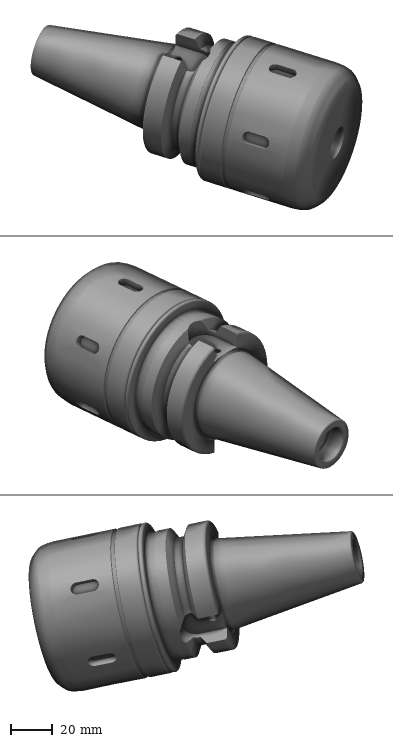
import cadquery as cq
import math

LENGTH = 155.4

DIAMETER_TAPER = 7 / 24
SHANK_END_RADIUS = 12.7
SHANK_EDGE_FILLET = 0.8
TAPER_END_X = 65.5
TAPER_END_RADIUS = SHANK_END_RADIUS + TAPER_END_X * DIAMETER_TAPER / 2

NECK_RADIUS = 21.8
UNDERCUT_START_X = 66.2
UNDERCUT_BOTTOM = (67.6, 22.7)
UNDERCUT_RADIUS = 23.8

FLANGE_X = 67.0
FLANGE_RADIUS = 63.1 / 2
FLANGE_FILLET = 1.4
GROOVE_X = 77.1
GROOVE_END_X = 86.7
GROOVE_RADIUS = 26.4
GROOVE_WALL_ANGLE = 60
GROOVE_WALL_LENGTH = (FLANGE_RADIUS - GROOVE_RADIUS) / math.tan(math.radians(GROOVE_WALL_ANGLE))
COLLAR_X = 92.3
COLLAR_RADIUS = 62.5 / 2
COLLAR_FILLET = 0.8

NUT_X = 97.0
NUT_RADIUS = 73.0 / 2
NUT_FILLET = 1.1
RING_END_X = 99.3
RING_LAND_END_X = RING_END_X - NUT_FILLET
MARK_GROOVE_X = 110.5
MARK_GROOVE_WIDTH = 2.3
MARK_GROOVE_DEPTH = 0.6
MARK_GROOVE_WALL_LENGTH = 0.3

NOSE_X = 143.5
NOSE_BREAK_X = 149.0
NOSE_BREAK_ANGLE = 17.5
NOSE_CONE_X = 151.8
NOSE_CONE_END_X = 153.7
NOSE_CONE_ANGLE = 45
FACE_ANGLE = 90

BORE_RADIUS = 16.0 / 2
MOUTH_RADIUS = 17.4 / 2
MOUTH_FILLET = 0.8
RECESS_RADIUS = 18.0 / 2
RECESS_X = 7.5
RECESS_END_X = 9.3
CONE_END_X = 10.1

KEYWAY_COUNT = 2
KEYWAY_WIDTH = 16.2
KEYWAY_END_X = 88.1
KEYWAY_FLOOR = 22.7

CROSS_HOLE_X = 72.1
CROSS_HOLE_DIAMETER = 3.4
CROSS_HOLE_MOUTH_DIAMETER = 4.0

SLOT_COUNT = 6
SLOT_X = 126.8
SLOT_LENGTH = 14.0
SLOT_WIDTH = 6.0
SLOT_DEPTH = 3.9

DIAGONAL = math.sqrt(0.5)


def fillet_middle(center, radius, x_side, r_side):
    """Middle point of a quarter arc; the sides (+1 or -1) pick the quadrant around its center."""
    return (center[0] + x_side * radius * DIAGONAL, center[1] + r_side * radius * DIAGONAL)


def tangent_arc(start, start_angle, end_x, end_angle):
    """Middle and end points of an arc that bends inward from one slope (degrees) to a steeper one."""
    first = math.radians(start_angle)
    last = math.radians(end_angle)
    radius = (end_x - start[0]) / (math.sin(last) - math.sin(first))

    def arc_point(slope):
        x = start[0] + radius * (math.sin(slope) - math.sin(first))
        r = start[1] - radius * (math.cos(first) - math.cos(slope))
        return (x, r)

    return arc_point((first + last) / 2), arc_point(last)


def make_body():
    """Revolve the outer half profile, drawn as (x, radius)."""
    shank_fillet_center = (SHANK_EDGE_FILLET, SHANK_END_RADIUS - SHANK_EDGE_FILLET)
    flange_fillet_center = (FLANGE_X + FLANGE_FILLET, FLANGE_RADIUS - FLANGE_FILLET)
    collar_fillet_center = (NUT_X - COLLAR_FILLET, COLLAR_RADIUS + COLLAR_FILLET)
    nut_fillet_r = NUT_RADIUS - NUT_FILLET
    ring_back_center = (NUT_X + NUT_FILLET, nut_fillet_r)
    ring_front_center = (RING_LAND_END_X, nut_fillet_r)
    nut_back_center = (RING_END_X + NUT_FILLET, nut_fillet_r)
    mark_groove_end_x = MARK_GROOVE_X + MARK_GROOVE_WIDTH
    mark_groove_radius = NUT_RADIUS - MARK_GROOVE_DEPTH

    nose_start = (NOSE_X, NUT_RADIUS)
    break_middle, nose_break = tangent_arc(nose_start, 0, NOSE_BREAK_X, NOSE_BREAK_ANGLE)
    cone_middle, cone_start = tangent_arc(nose_break, NOSE_BREAK_ANGLE, NOSE_CONE_X, NOSE_CONE_ANGLE)
    cone_drop = (NOSE_CONE_END_X - NOSE_CONE_X) * math.tan(math.radians(NOSE_CONE_ANGLE))
    cone_end = (NOSE_CONE_END_X, cone_start[1] - cone_drop)
    face_middle, face_edge = tangent_arc(cone_end, NOSE_CONE_ANGLE, LENGTH, FACE_ANGLE)

    profile = (
        cq.Workplane("XY")
        .moveTo(0, 0)
        .lineTo(0, shank_fillet_center[1])
        .threePointArc(
            fillet_middle(shank_fillet_center, SHANK_EDGE_FILLET, -1, 1),
            (SHANK_EDGE_FILLET, SHANK_END_RADIUS),
        )
        .lineTo(TAPER_END_X, TAPER_END_RADIUS)
        .lineTo(TAPER_END_X, NECK_RADIUS)
        .lineTo(UNDERCUT_START_X, NECK_RADIUS)
        .threePointArc(UNDERCUT_BOTTOM, (FLANGE_X, UNDERCUT_RADIUS))
        .lineTo(FLANGE_X, flange_fillet_center[1])
        .threePointArc(
            fillet_middle(flange_fillet_center, FLANGE_FILLET, -1, 1),
            (flange_fillet_center[0], FLANGE_RADIUS),
        )
        .lineTo(GROOVE_X, FLANGE_RADIUS)
        .lineTo(GROOVE_X + GROOVE_WALL_LENGTH, GROOVE_RADIUS)
        .lineTo(GROOVE_END_X - GROOVE_WALL_LENGTH, GROOVE_RADIUS)
        .lineTo(GROOVE_END_X, FLANGE_RADIUS)
        .lineTo(COLLAR_X, FLANGE_RADIUS)
        .lineTo(COLLAR_X, COLLAR_RADIUS)
        .lineTo(collar_fillet_center[0], COLLAR_RADIUS)
        .threePointArc(
            fillet_middle(collar_fillet_center, COLLAR_FILLET, 1, -1),
            (NUT_X, collar_fillet_center[1]),
        )
        .lineTo(NUT_X, nut_fillet_r)
        .threePointArc(
            fillet_middle(ring_back_center, NUT_FILLET, -1, 1),
            (ring_back_center[0], NUT_RADIUS),
        )
        .lineTo(RING_LAND_END_X, NUT_RADIUS)
        .threePointArc(
            fillet_middle(ring_front_center, NUT_FILLET, 1, 1),
            (RING_END_X, nut_fillet_r),
        )
        .threePointArc(
            fillet_middle(nut_back_center, NUT_FILLET, -1, 1),
            (nut_back_center[0], NUT_RADIUS),
        )
        .lineTo(MARK_GROOVE_X, NUT_RADIUS)
        .lineTo(MARK_GROOVE_X + MARK_GROOVE_WALL_LENGTH, mark_groove_radius)
        .lineTo(mark_groove_end_x - MARK_GROOVE_WALL_LENGTH, mark_groove_radius)
        .lineTo(mark_groove_end_x, NUT_RADIUS)
        .lineTo(*nose_start)
        .threePointArc(break_middle, nose_break)
        .threePointArc(cone_middle, cone_start)
        .lineTo(*cone_end)
        .threePointArc(face_middle, face_edge)
        .lineTo(LENGTH, 0)
        .close()
    )
    return profile.revolve(360, (0, 0, 0), (1, 0, 0))


def make_bore():
    """Revolve the bore profile, from the rounded mouth to the front face."""
    mouth_edge_radius = MOUTH_RADIUS + MOUTH_FILLET
    mouth_fillet_center = (MOUTH_FILLET, mouth_edge_radius)
    profile = (
        cq.Workplane("XY")
        .moveTo(0, 0)
        .lineTo(0, mouth_edge_radius)
        .threePointArc(
            fillet_middle(mouth_fillet_center, MOUTH_FILLET, -1, -1),
            (MOUTH_FILLET, MOUTH_RADIUS),
        )
        .lineTo(RECESS_X, MOUTH_RADIUS)
        .lineTo(RECESS_X, RECESS_RADIUS)
        .lineTo(RECESS_END_X, RECESS_RADIUS)
        .lineTo(CONE_END_X, BORE_RADIUS)
        .lineTo(LENGTH, BORE_RADIUS)
        .lineTo(LENGTH, 0)
        .close()
    )
    return profile.revolve(360, (0, 0, 0), (1, 0, 0))


def make_keyway():
    """Round-ended keyway at +Z, open toward the shank, with the mouth chamfer of the cross hole."""
    height = NUT_RADIUS - KEYWAY_FLOOR
    end_radius = KEYWAY_WIDTH / 2
    arc_x = KEYWAY_END_X - end_radius
    keyway = (
        cq.Workplane("XY", origin=(0, 0, KEYWAY_FLOOR))
        .moveTo(TAPER_END_X, -end_radius)
        .lineTo(arc_x, -end_radius)
        .threePointArc((KEYWAY_END_X, 0), (arc_x, end_radius))
        .lineTo(TAPER_END_X, end_radius)
        .close()
        .extrude(height)
    )
    mouth_depth = (CROSS_HOLE_MOUTH_DIAMETER - CROSS_HOLE_DIAMETER) / 2
    mouth = cq.Workplane(
        cq.Solid.makeCone(
            CROSS_HOLE_MOUTH_DIAMETER / 2,
            CROSS_HOLE_DIAMETER / 2,
            mouth_depth,
            cq.Vector(CROSS_HOLE_X, 0, KEYWAY_FLOOR),
            cq.Vector(0, 0, -1),
        )
    )
    return keyway.union(mouth)


def make_cross_hole():
    return (
        cq.Workplane("XY")
        .center(CROSS_HOLE_X, 0)
        .circle(CROSS_HOLE_DIAMETER / 2)
        .extrude(FLANGE_RADIUS, both=True)
    )


def make_slot():
    """Flat-bottomed wrench slot at +Z, long along the axis."""
    return (
        cq.Workplane("XY", origin=(SLOT_X, 0, NUT_RADIUS - SLOT_DEPTH))
        .slot2D(SLOT_LENGTH, SLOT_WIDTH)
        .extrude(2 * SLOT_DEPTH)
    )


def turned(shape, angle):
    """Turn a shape about the part axis."""
    return shape.rotate((0, 0, 0), (1, 0, 0), angle)


result = make_body().cut(make_bore())

for index in range(KEYWAY_COUNT):
    result = result.cut(turned(make_keyway(), index * 360 / KEYWAY_COUNT))
result = result.cut(make_cross_hole())

for index in range(SLOT_COUNT):
    result = result.cut(turned(make_slot(), index * 360 / SLOT_COUNT))